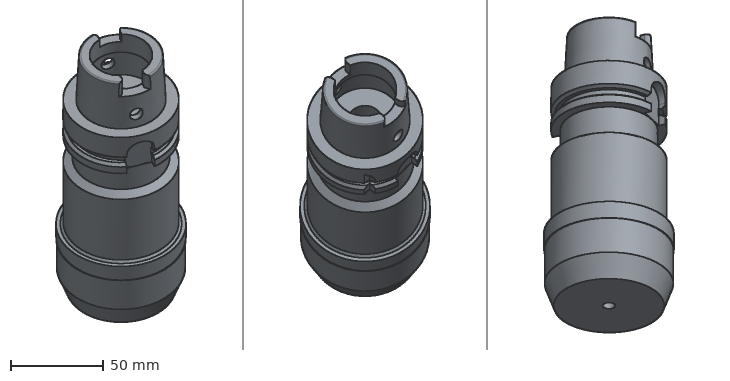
import cadquery as cq

LENGTH = 167.0
COLLAR_DIA = 70.6

SHANK_LENGTH = 32.0
SHANK_BASE_DIA = 48.8
SHANK_TOP_DIA = 45.8
RIM_ROUND_RADIUS = 1.0

FLANGE_DIA = 63.0
FLANGE_HEIGHT = 26.0
GROOVE_ROOT_DIA = 55.0
GROOVE_MOUTH = 7.0
GROOVE_TOP_DROP = 14.4
GROOVE_BEVEL_WIDTH = 2.0
GROOVE_BEVEL_HEIGHT = 1.5

NECK_DIA = 53.0
NECK_BOTTOM_Z = 93.0
BODY_DIA = FLANGE_DIA
BODY_TOP_Z = 90.2
BODY_BOTTOM_Z = 46.5
COLLAR_TOP_Z = 45.1
COLLAR_BOTTOM_Z = 34.9
SKIRT_DIA = 70.0
NOSE_HEIGHT = 13.7
NOSE_DIA = 60.0
FOOT_DIA = 66.0

MOUTH_DIA = 34.0
MOUTH_DEPTH = 13.0
CHAMBER_DIA = 40.4
CHAMBER_DEPTH = SHANK_LENGTH
COUNTERBORE_DIA = 18.0
COUNTERBORE_DEPTH = 16.7
THROUGH_DIA = 6.8

CROSS_HOLE_DIA = 7.5
CROSS_HOLE_DROP = 23.0

DRIVE_SLOT_WIDTH = 12.7
DRIVE_SLOT_DEPTH_LEFT = 5.5
DRIVE_SLOT_DEPTH_RIGHT = 9.7
DRIVE_SLOT_STRAIGHT_END = 18.2
DRIVE_SLOT_FLARE_RADIUS = 3.0

KEYWAY_WIDTH = 16.0
KEYWAY_TOP_DROP = 4.8
KEYWAY_FLOOR = NECK_DIA / 2
INDEX_NOTCH_FLOOR = 20.2
INDEX_NOTCH_Y = 27.9

SHANK_BASE_Z = LENGTH - SHANK_LENGTH
FLANGE_BOTTOM_Z = SHANK_BASE_Z - FLANGE_HEIGHT


def turned_body():
    """Outer shape, revolved about the Z axis."""
    groove_top = SHANK_BASE_Z - GROOVE_TOP_DROP
    groove_bottom = groove_top - GROOVE_MOUTH
    flange_r = FLANGE_DIA / 2
    bevel_r = flange_r - GROOVE_BEVEL_WIDTH
    root_r = GROOVE_ROOT_DIA / 2
    outline = [
        (0, 0),
        (NOSE_DIA / 2, 0),
        (SKIRT_DIA / 2, NOSE_HEIGHT),
        (SKIRT_DIA / 2, COLLAR_BOTTOM_Z),
        (COLLAR_DIA / 2, COLLAR_BOTTOM_Z),
        (COLLAR_DIA / 2, COLLAR_TOP_Z),
        (FOOT_DIA / 2, COLLAR_TOP_Z),
        (BODY_DIA / 2, BODY_BOTTOM_Z),
        (BODY_DIA / 2, BODY_TOP_Z),
        (NECK_DIA / 2, NECK_BOTTOM_Z),
        (NECK_DIA / 2, FLANGE_BOTTOM_Z),
        (flange_r, FLANGE_BOTTOM_Z),
        (flange_r, groove_bottom),
        (bevel_r, groove_bottom + GROOVE_BEVEL_HEIGHT),
        (root_r, groove_bottom + GROOVE_BEVEL_HEIGHT),
        (root_r, groove_top - GROOVE_BEVEL_HEIGHT),
        (bevel_r, groove_top - GROOVE_BEVEL_HEIGHT),
        (flange_r, groove_top),
        (flange_r, SHANK_BASE_Z),
        (SHANK_BASE_DIA / 2, SHANK_BASE_Z),
        (SHANK_TOP_DIA / 2, LENGTH),
        (0, LENGTH),
    ]
    solid = cq.Workplane("XZ").polyline(outline).close().revolve(360, (0, 0), (0, 1))
    return solid.faces(">Z").edges().fillet(RIM_ROUND_RADIUS)


def axial_bores():
    """Stepped bore with an undercut chamber behind the mouth."""
    chamber_floor = LENGTH - CHAMBER_DEPTH
    counterbore_floor = chamber_floor - COUNTERBORE_DEPTH
    outline = [
        (0, 0),
        (THROUGH_DIA / 2, 0),
        (THROUGH_DIA / 2, counterbore_floor),
        (COUNTERBORE_DIA / 2, counterbore_floor),
        (COUNTERBORE_DIA / 2, chamber_floor),
        (CHAMBER_DIA / 2, chamber_floor),
        (CHAMBER_DIA / 2, LENGTH - MOUTH_DEPTH),
        (MOUTH_DIA / 2, LENGTH - MOUTH_DEPTH),
        (MOUTH_DIA / 2, LENGTH),
        (0, LENGTH),
    ]
    return cq.Workplane("XZ").polyline(outline).close().revolve(360, (0, 0), (0, 1))


def cross_hole():
    """Hole along X through both walls of the shank."""
    return (
        cq.Workplane("YZ")
        .center(0, LENGTH - CROSS_HOLE_DROP)
        .circle(CROSS_HOLE_DIA / 2)
        .extrude(SHANK_BASE_DIA / 2, both=True)
    )


def drive_slot(side, depth):
    """Rim slot on the +X (side=1) or -X (side=-1) side, flaring outwards in two quarter arcs."""
    half_width = DRIVE_SLOT_WIDTH / 2
    mouth_half_width = half_width + DRIVE_SLOT_FLARE_RADIUS
    flare_start = side * DRIVE_SLOT_STRAIGHT_END
    flare_end = side * (DRIVE_SLOT_STRAIGHT_END + DRIVE_SLOT_FLARE_RADIUS)
    outside = side * SHANK_BASE_DIA
    return (
        cq.Workplane("XY", origin=(0, 0, LENGTH - depth))
        .moveTo(0, -half_width)
        .lineTo(flare_start, -half_width)
        .radiusArc((flare_end, -mouth_half_width), side * DRIVE_SLOT_FLARE_RADIUS)
        .lineTo(outside, -mouth_half_width)
        .lineTo(outside, mouth_half_width)
        .lineTo(flare_end, mouth_half_width)
        .radiusArc((flare_start, half_width), side * DRIVE_SLOT_FLARE_RADIUS)
        .lineTo(0, half_width)
        .close()
        .extrude(depth)
    )


def keyway(side, y_center, floor):
    """Round-topped keyway cut along X, from a flat floor out past the flange rim."""
    radius = KEYWAY_WIDTH / 2
    arc_z = SHANK_BASE_Z - KEYWAY_TOP_DROP - radius
    return (
        cq.Workplane("YZ", origin=(side * floor, 0, 0))
        .moveTo(y_center - radius, FLANGE_BOTTOM_Z)
        .lineTo(y_center - radius, arc_z)
        .threePointArc((y_center, arc_z + radius), (y_center + radius, arc_z))
        .lineTo(y_center + radius, FLANGE_BOTTOM_Z)
        .close()
        .extrude(side * FLANGE_DIA)
    )


result = (
    turned_body()
    .cut(axial_bores())
    .cut(cross_hole())
    .cut(drive_slot(-1, DRIVE_SLOT_DEPTH_LEFT))
    .cut(drive_slot(1, DRIVE_SLOT_DEPTH_RIGHT))
    .cut(keyway(-1, 0, KEYWAY_FLOOR))
    .cut(keyway(1, 0, KEYWAY_FLOOR))
    .cut(keyway(-1, INDEX_NOTCH_Y, INDEX_NOTCH_FLOOR))
)